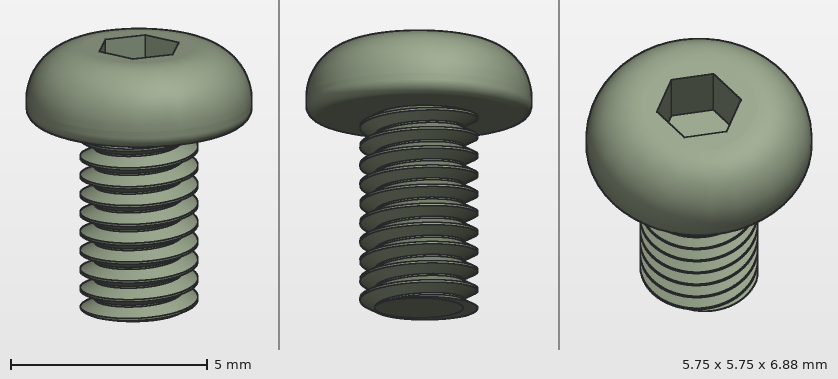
import cadquery as cq
import math

total_height = 6.88
head_diameter = 5.75
head_height = 1.885
shank_length = total_height - head_height

head_radius = head_diameter / 2
dome_radius = 1.405
underside_radius = 0.3
socket_width = 1.885
socket_depth = 1.5

core_radius = 2.26 / 2
thread_radius = 3.0 / 2
turns_on_shank = 10
pitch = shank_length / turns_on_shank
crest_width = pitch / 8
root_width = 0.9 * pitch
lowest_crest_height = pitch / 4


def make_screw():
    """Head and plain core in one piece, with the hexagon socket cut in."""
    core = cq.Workplane("XY").circle(core_radius).extrude(shank_length)
    head = (
        cq.Workplane("XY", origin=(0, 0, shank_length))
        .circle(head_radius)
        .extrude(head_height)
        .faces(">Z").edges().fillet(dome_radius)
        .faces("<Z").edges().fillet(underside_radius)
    )
    half_side_angle = 30
    socket_corner_diameter = socket_width / math.cos(math.radians(half_side_angle))
    socket = (
        cq.Workplane("XY", origin=(0, 0, total_height - socket_depth))
        .polygon(6, socket_corner_diameter)
        .extrude(socket_depth)
        .rotate((0, 0, 0), (0, 0, 1), half_side_angle)
    )
    return core.union(head).cut(socket).solids()


def make_thread():
    """Helical ridge around the core, cut flat at the tip and under the head."""
    extra_turns = 2
    start_height = lowest_crest_height - extra_turns * pitch
    helix_height = (turns_on_shank + 2 * extra_turns) * pitch

    section = [
        (core_radius, -root_width / 2),
        (thread_radius, -crest_width / 2),
        (thread_radius, crest_width / 2),
        (core_radius, root_width / 2),
    ]
    helices = [
        cq.Wire.makeHelix(pitch, helix_height, radius).translate(cq.Vector(0, 0, start_height + offset))
        for radius, offset in section
    ]
    sides = [
        cq.Face.makeRuledSurface(helix, helices[(i + 1) % len(helices)])
        for i, helix in enumerate(helices)
    ]
    ends = []
    for base in (start_height, start_height + helix_height):
        corners = [cq.Vector(radius, 0, base + offset) for radius, offset in section]
        ends.append(cq.Face.makeFromWires(cq.Wire.makePolygon(corners, close=True)))
    ridge = cq.Solid.makeSolid(cq.Shell.makeShell(sides + ends))

    trim_size = 4 * thread_radius
    shank_space = cq.Workplane("XY").rect(trim_size, trim_size).extrude(shank_length)
    return shank_space.intersect(cq.Workplane(ridge)).solids()


screw = make_screw()
thread = make_thread()

result = cq.Compound.makeCompound([screw.val(), thread.val()])